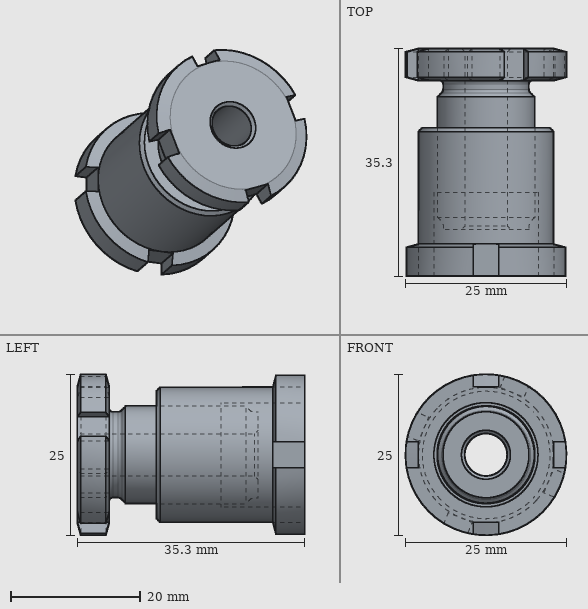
import cadquery as cq
import math

rim_radius = 12.5
rim_thickness = 5.0
rim_slope = math.radians(15)
slot_width = 4.0
slot_floor_radius = 10.5
slot_count = 4

housing_length = 23.0
body_radius = slot_floor_radius
body_chamfer = 0.6
bore_radius = 8.08
bore_depth = 13.0

total_length = 35.28
screw_length = 28.0
screw_start = total_length - screw_length
head_start = total_length - rim_thickness
head_turn = 22.5
thread_radius = 7.6
thread_end = 27.8
core_radius = 6.67
shoulder_radius = 7.5
cone_slope = math.radians(45)
relief_fillet = 0.8
head_fillet = 0.5
nose_length = 1.0
hole_radius = 3.27
hole_chamfer = 0.53

rim_bevel_height = rim_radius - slot_floor_radius
rim_bevel_length = rim_bevel_height * math.tan(rim_slope)
cone_length = (shoulder_radius - core_radius) / math.tan(cone_slope)
fillet_tangent = relief_fillet * math.tan(cone_slope / 2)


def revolve_about_y(outline):
    """Turn a closed outline of (radius, Y) points about the Y axis."""
    return outline.close().revolve(360, (0, 0, 0), (0, 1, 0))


def cut_slots(body, start, length, turn):
    """Cut the wrench slots into a rim, spread evenly about Y."""
    for index in range(slot_count):
        slot = (
            cq.Workplane("XY")
            .box(slot_width, length, rim_radius, centered=(True, False, False))
            .translate((0, start, slot_floor_radius))
            .rotate((0, 0, 0), (0, 1, 0), turn + index * 360 / slot_count)
        )
        body = body.cut(slot)
    return body


def make_housing():
    outline = (
        cq.Workplane("XY")
        .moveTo(bore_radius, 0)
        .lineTo(rim_radius, 0)
        .lineTo(rim_radius, rim_thickness - rim_bevel_length)
        .lineTo(body_radius, rim_thickness)
        .lineTo(body_radius, housing_length - body_chamfer)
        .lineTo(body_radius - body_chamfer, housing_length)
        .lineTo(thread_radius, housing_length)
        .lineTo(thread_radius, bore_depth)
        .lineTo(bore_radius, bore_depth)
    )
    return cut_slots(revolve_about_y(outline), 0, rim_thickness, 0)


def relief_fillet_points(corner, direction):
    """Start, middle and end of the arc easing the core into a cone rising along direction (+1 or -1)."""
    start = corner - direction * fillet_tangent
    centre_radius = core_radius + relief_fillet

    def point(angle):
        return (
            centre_radius - relief_fillet * math.cos(angle),
            start + direction * relief_fillet * math.sin(angle),
        )

    return point(0), point(cone_slope / 2), point(cone_slope)


def make_screw():
    nose_corner = screw_start + nose_length
    nose_arc = relief_fillet_points(nose_corner, 1)
    groove_arc = relief_fillet_points(thread_end + cone_length, -1)
    head_arc_inset = head_fillet * (1 - math.sqrt(0.5))
    head_arc_middle = (core_radius + head_arc_inset, head_start - head_arc_inset)
    outline = (
        cq.Workplane("XY")
        .moveTo(hole_radius, screw_start + hole_chamfer)
        .lineTo(hole_radius + hole_chamfer, screw_start)
        .lineTo(core_radius, screw_start)
        .lineTo(*nose_arc[0])
        .threePointArc(nose_arc[1], nose_arc[2])
        .lineTo(shoulder_radius, nose_corner + cone_length)
        .lineTo(thread_radius, nose_corner + cone_length)
        .lineTo(thread_radius, thread_end)
        .lineTo(shoulder_radius, thread_end)
        .lineTo(*groove_arc[2])
        .threePointArc(groove_arc[1], groove_arc[0])
        .lineTo(core_radius, head_start - head_fillet)
        .threePointArc(head_arc_middle, (core_radius + head_fillet, head_start))
        .lineTo(slot_floor_radius, head_start)
        .lineTo(rim_radius, head_start + rim_bevel_length)
        .lineTo(rim_radius, total_length - rim_bevel_length)
        .lineTo(slot_floor_radius, total_length)
        .lineTo(hole_radius + hole_chamfer, total_length)
        .lineTo(hole_radius, total_length - hole_chamfer)
    )
    return cut_slots(revolve_about_y(outline), head_start, rim_thickness, head_turn)


housing = make_housing()
screw = make_screw()

result = cq.Compound.makeCompound([housing.val(), screw.val()])